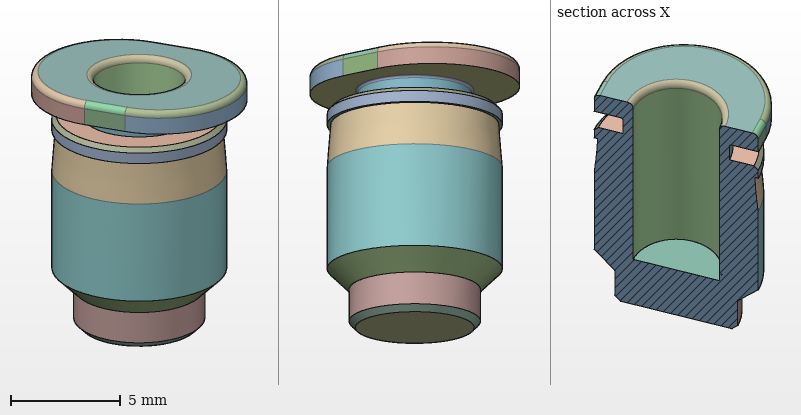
import cadquery as cq

flange_length = 10.0
flange_width = 8.0
flange_thickness = 1.08
rim_fillet = 0.3

total_height = 12.3
body_radius = flange_width / 2
spigot_radius = 3.0
spigot_chamfer = 0.3
spigot_top = 1.8
shoulder_top = 2.78
barrel_top = 7.59
collar_bottom = 9.6
collar_top = 10.32
collar_chamfer = 0.21
waist_radius = 3.84

neck_radius = 2.6
neck_fillet = 0.11

socket_radius = 2.09
socket_floor = shoulder_top

flange_bottom = total_height - flange_thickness


def make_body():
    """Revolve the spigot, shoulder, barrel, tapered waist, collar and flared neck."""
    flare_radius = neck_radius + neck_fillet
    return (
        cq.Workplane("XZ")
        .lineTo(spigot_radius - spigot_chamfer, 0)
        .lineTo(spigot_radius, spigot_chamfer)
        .lineTo(spigot_radius, spigot_top)
        .lineTo(body_radius, shoulder_top)
        .lineTo(body_radius, barrel_top)
        .lineTo(waist_radius, collar_bottom)
        .lineTo(body_radius, collar_bottom)
        .lineTo(body_radius, collar_top - collar_chamfer)
        .lineTo(body_radius - collar_chamfer, collar_top)
        .lineTo(neck_radius, collar_top)
        .lineTo(neck_radius, flange_bottom - neck_fillet)
        .radiusArc((flare_radius, flange_bottom), neck_fillet)
        .lineTo(0, flange_bottom)
        .close()
        .revolve(360, (0, 0), (0, 1))
    )


def make_flange():
    """Extrude the slot-shaped flange."""
    return (
        cq.Workplane("XY")
        .workplane(offset=flange_bottom)
        .slot2D(flange_length, flange_width)
        .extrude(flange_thickness)
    )


def make_socket():
    """Cylinder that cuts the blind tube socket."""
    return (
        cq.Workplane("XY")
        .workplane(offset=socket_floor)
        .circle(socket_radius)
        .extrude(total_height - socket_floor)
    )


drilled = make_body().union(make_flange()).cut(make_socket())

result = drilled.faces(">Z").edges().fillet(rim_fillet)